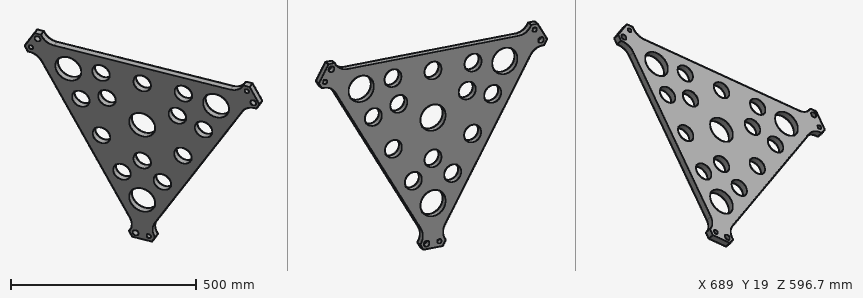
import cadquery as cq
import math

overall_width = 689.0
thickness = 19.0
edge_distance = 191.0
tip_distance = 381.0
tip_half_width = overall_width - math.sqrt(3) * tip_distance
tip_side_length = 19.0
tip_side_angle = math.radians(60)
neck_radius = 41.5

large_hole_diameter = 76.0
tip_large_hole_distance = 250.0
medium_hole_diameter = 51.0
inner_hole_distance = 119.0
pair_half_spacing = 59.0
pair_distance = 174.0
side_hole_distance = 138.0
mount_hole_diameter = 16.5
pin_hole_diameter = 12.5
mount_half_spacing = 19.0
mount_distance = 365.0

TIP_ANGLES = (0, 120, 240)


def rotate(point, angle):
    """Turn a point counterclockwise about the plate centre."""
    c = math.cos(math.radians(angle))
    s = math.sin(math.radians(angle))
    x, z = point
    return (c * x - s * z, s * x + c * z)


def tip_points():
    """Right half of the lower tip, from its flat end up to the long side."""
    end_corner = (tip_half_width, -tip_distance)
    shoulder = (
        tip_half_width + tip_side_length * math.cos(tip_side_angle),
        -tip_distance + tip_side_length * math.sin(tip_side_angle),
    )
    shoulder_x, shoulder_z = rotate(shoulder, 120)
    rise = shoulder_z - edge_distance
    run = math.sqrt(rise * (2 * neck_radius - rise))
    tangent_x = shoulder_x - run
    sweep = math.asin(run / neck_radius)
    middle = (
        tangent_x + neck_radius * math.sin(sweep / 2),
        edge_distance + neck_radius * (1 - math.cos(sweep / 2)),
    )
    tangent = (tangent_x, edge_distance)
    return end_corner, shoulder, rotate(middle, -120), rotate(tangent, -120)


def mirror(point):
    return (-point[0], point[1])


def plate():
    end_corner, shoulder, middle, tangent = tip_points()
    outline = cq.Workplane("XZ", origin=(0, thickness / 2, 0)).moveTo(*mirror(tangent))
    for angle in TIP_ANGLES:
        if angle != 0:
            outline = outline.lineTo(*rotate(mirror(tangent), angle))
        outline = outline.threePointArc(
            rotate(mirror(middle), angle), rotate(mirror(shoulder), angle)
        )
        outline = outline.lineTo(*rotate(mirror(end_corner), angle))
        outline = outline.lineTo(*rotate(end_corner, angle))
        outline = outline.lineTo(*rotate(shoulder, angle))
        outline = outline.threePointArc(rotate(middle, angle), rotate(tangent, angle))
    return outline.close().extrude(thickness)


def drill(body, diameter, points):
    cutters = cq.Workplane("XZ", origin=(0, thickness / 2, 0)).pushPoints(points).circle(diameter / 2)
    return body.cut(cutters.extrude(thickness))


def around(*points):
    """Repeat points of the lower tip at all three tips."""
    return [rotate(point, angle) for angle in TIP_ANGLES for point in points]


large_holes = [(0, 0)] + around((0, -tip_large_hole_distance))
medium_holes = around(
    (0, -inner_hole_distance),
    (-pair_half_spacing, -pair_distance),
    (pair_half_spacing, -pair_distance),
    (0, side_hole_distance),
)

result = plate()
result = drill(result, large_hole_diameter, large_holes)
result = drill(result, medium_hole_diameter, medium_holes)
result = drill(result, mount_hole_diameter, around((-mount_half_spacing, -mount_distance)))
result = drill(result, pin_hole_diameter, around((mount_half_spacing, -mount_distance)))